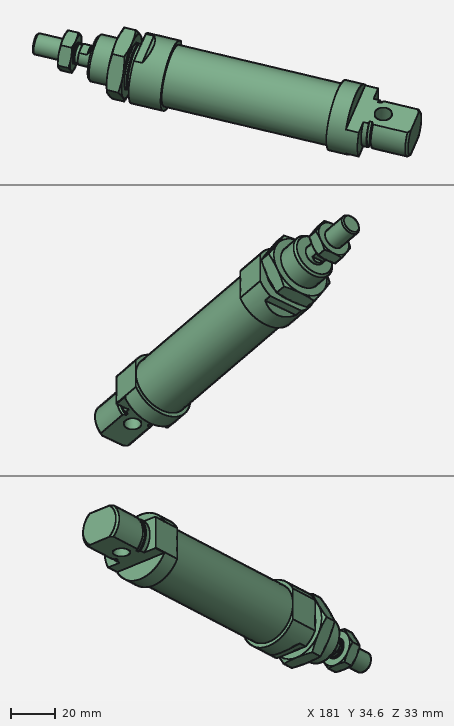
import cadquery as cq
import math


rod_nut_start = 13.4
rod_nut_width = 6.0
neck_start = 28.0
lock_nut_start = 38.7
lock_nut_width = 7.2
front_cap_start = 49.8
front_cap_end = 65.0
rear_cap_start = 144.0
rear_cap_slab_start = 152.8
rear_cap_end = 159.0
overall_length = 181.0

rod_diameter = 10.0
rod_end_chamfer = 0.7
rod_groove_start = 20.1
rod_groove_end = 21.7
rod_groove_diameter = 8.9
rod_flat_width = 8.0
rod_flat_end = 25.5

rod_nut_across_flats = 17.0
lock_nut_across_flats = 30.0
nut_chamfer_angle = 20.0

barrel_diameter = 29.0
cap_diameter = 33.0
cap_side_flat_y = barrel_diameter / 2
wrench_flat_width = 27.9
wrench_flat_end = 53.8

neck_diameter = 22.0
neck_end_chamfer = 1.0
relief_diameter = 20.3
relief_floor_width = 1.3
front_relief_end = 47.6
rear_relief_end = 163.6

tongue_thickness = 16.1
tongue_end_chamfer = 1.0
pin_hole_diameter = 8.0
pin_hole_x = 166.0


def revolve_about_axis(outline):
    """Solid of revolution about X from (x, radius) points, closed along the axis."""
    points = [(outline[0][0], 0), *outline, (outline[-1][0], 0)]
    return cq.Workplane("XY").polyline(points).close().revolve(360, (0, 0, 0), (1, 0, 0))


def cylinder(diameter, start, end):
    return cq.Workplane("YZ", origin=(start, 0, 0)).circle(diameter / 2).extrude(end - start)


def x_block(start, end, width_y, width_z):
    """Block centred on the axis, spanning start to end along X."""
    return cq.Workplane("YZ", origin=(start, 0, 0)).rect(width_y, width_z).extrude(end - start)


def cut_flat_pair(body, diameter, flat_width, start, end):
    """Cut flats facing +Z and -Z into a round body, each running out on a 45 degree ramp at its end."""
    half_flat = flat_width / 2
    depth = diameter / 2 - half_flat
    cutter_height = 2 * depth
    for side in (1, -1):
        profile = [
            (start, side * half_flat),
            (end, side * half_flat),
            (end + cutter_height, side * (half_flat + cutter_height)),
            (start, side * (half_flat + cutter_height)),
        ]
        cutter = cq.Workplane("XZ").polyline(profile).close().extrude(diameter / 2, both=True)
        body = body.cut(cutter)
    return body


def relief_points(end):
    """Relief groove outline: square wall, cylindrical floor, 45 degree run-out finishing at end."""
    neck_radius = neck_diameter / 2
    relief_radius = relief_diameter / 2
    floor_end = end - (neck_radius - relief_radius)
    floor_start = floor_end - relief_floor_width
    return [
        (floor_start, neck_radius),
        (floor_start, relief_radius),
        (floor_end, relief_radius),
        (end, neck_radius),
    ]


def make_rod():
    radius = rod_diameter / 2
    groove_radius = rod_groove_diameter / 2
    rod = revolve_about_axis([
        (0, radius - rod_end_chamfer),
        (rod_end_chamfer, radius),
        (rod_groove_start, radius),
        (rod_groove_start, groove_radius),
        (rod_groove_end, groove_radius),
        (rod_groove_end, radius),
        (front_cap_end, radius),
    ])
    return cut_flat_pair(rod, rod_diameter, rod_flat_width, rod_groove_end, rod_flat_end)


def make_nut(across_flats, bore, start, width):
    """Hexagon nut with corners on Y, its corners chamfered at both ends."""
    corner_diameter = across_flats / math.cos(math.pi / 6)
    chamfer_length = (corner_diameter - across_flats) / 2 * math.tan(math.radians(nut_chamfer_angle))
    end = start + width
    hexagon = cq.Workplane("YZ", origin=(start, 0, 0)).polygon(6, corner_diameter).extrude(width)
    envelope = revolve_about_axis([
        (start, across_flats / 2),
        (start + chamfer_length, corner_diameter / 2),
        (end - chamfer_length, corner_diameter / 2),
        (end, across_flats / 2),
    ])
    return hexagon.intersect(envelope).cut(cylinder(bore, start, end))


def cut_side_flat(cap):
    """Trim the +Y side of a cap flush with the barrel."""
    trim = cq.Workplane("XY").box(
        overall_length, cap_diameter, cap_diameter, centered=(False, False, True)
    ).translate((0, cap_side_flat_y, 0))
    return cap.cut(trim)


def make_front_cap():
    head = cut_side_flat(cylinder(cap_diameter, front_cap_start, front_cap_end))
    head = cut_flat_pair(head, cap_diameter, wrench_flat_width, front_cap_start, wrench_flat_end)
    neck_radius = neck_diameter / 2
    neck = revolve_about_axis([
        (neck_start, neck_radius - neck_end_chamfer),
        (neck_start + neck_end_chamfer, neck_radius),
        *relief_points(front_relief_end),
        (front_cap_start, neck_radius),
    ])
    return neck.union(head).cut(cylinder(rod_diameter, neck_start, front_cap_end))


def make_barrel():
    return cylinder(barrel_diameter, front_cap_end, rear_cap_start)


def make_rear_cap():
    collar = cylinder(cap_diameter, rear_cap_start, rear_cap_slab_start)
    slab = cylinder(cap_diameter, rear_cap_slab_start, rear_cap_end)
    neck_radius = neck_diameter / 2
    tongue = revolve_about_axis([
        (rear_cap_end, neck_radius),
        *relief_points(rear_relief_end),
        (overall_length - tongue_end_chamfer, neck_radius),
        (overall_length, neck_radius - tongue_end_chamfer),
    ])
    thickness_limit = x_block(rear_cap_slab_start, overall_length, cap_diameter, tongue_thickness)
    clevis = slab.union(tongue).intersect(thickness_limit)
    pin_hole = cq.Workplane("XY").center(pin_hole_x, 0).circle(pin_hole_diameter / 2)
    pin_hole = pin_hole.extrude(tongue_thickness, both=True)
    return cut_side_flat(collar.union(clevis)).cut(pin_hole)


rod = make_rod()
rod_nut = make_nut(rod_nut_across_flats, rod_diameter, rod_nut_start, rod_nut_width)
lock_nut = make_nut(lock_nut_across_flats, neck_diameter, lock_nut_start, lock_nut_width)
front_cap = make_front_cap()
barrel = make_barrel()
rear_cap = make_rear_cap()

result = cq.Compound.makeCompound([
    rod.val(),
    rod_nut.val(),
    lock_nut.val(),
    front_cap.val(),
    barrel.val(),
    rear_cap.val(),
])